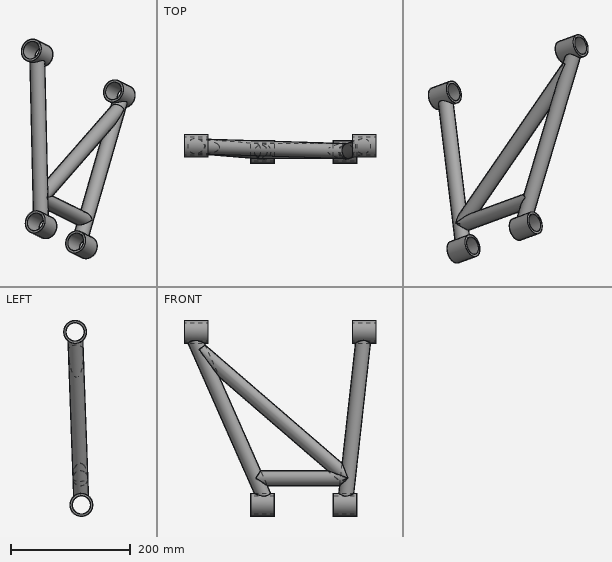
import cadquery as cq

frame_width = 320.0
frame_height = 326.8

bush_diameter = 38.2
bush_bore = 30.0
bush_length = 40.0

tube_diameter = 25.0

upper_z = frame_height - bush_diameter
upper_y = 10.5
upper_left_x = bush_length / 2
upper_right_x = frame_width - bush_length / 2
lower_left_x = 130.5
lower_right_x = 268.0

upper_left = cq.Vector(upper_left_x, upper_y, upper_z)
upper_right = cq.Vector(upper_right_x, upper_y, upper_z)
lower_left = cq.Vector(lower_left_x, 0, 0)
lower_right = cq.Vector(lower_right_x, 0, 0)

left_leg_offset = 8.5
left_leg_top = upper_left - cq.Vector(left_leg_offset, 0, 0)
left_leg_bottom = lower_left + cq.Vector(left_leg_offset, 0, 0)

cope_length = 2 * bush_length

cross_joint_z = 44.5
diagonal_joint_z = 258.8


def point_at_height(bottom, top, z):
    """Point on the line from bottom to top at height z."""
    return bottom + (top - bottom) * ((z - bottom.z) / (top.z - bottom.z))


def rod(start, end):
    """Solid round member between two axis points."""
    axis = end - start
    return cq.Workplane(cq.Solid.makeCylinder(tube_diameter / 2, axis.Length, start, axis))


def cylinder_along_x(center, diameter, length):
    """Solid cylinder with its axis along X and its middle at center."""
    start = center - cq.Vector(length / 2, 0, 0)
    return cq.Workplane(cq.Solid.makeCylinder(diameter / 2, length, start, cq.Vector(1, 0, 0)))


def bush(center):
    """Sleeve with a through bore along X."""
    bore = cylinder_along_x(center, bush_bore, bush_length)
    return cylinder_along_x(center, bush_diameter, bush_length).cut(bore)


def leg(bottom, top):
    """Leg whose ends are coped to the outside of the bushes at those heights."""
    body = rod(bottom, top)
    for end in (bottom, top):
        body = body.cut(cylinder_along_x(end, bush_diameter, cope_length))
    return body


bushes = [bush(center) for center in (upper_left, upper_right, lower_left, lower_right)]

left_leg = leg(left_leg_bottom, left_leg_top)
right_leg = leg(lower_right, upper_right)

left_cross_joint = point_at_height(left_leg_bottom, left_leg_top, cross_joint_z)
right_joint = point_at_height(lower_right, upper_right, cross_joint_z)
diagonal_joint = point_at_height(left_leg_bottom, left_leg_top, diagonal_joint_z)

diagonal_brace = rod(diagonal_joint, right_joint).cut(left_leg).cut(right_leg)
cross_brace = rod(left_cross_joint, right_joint).cut(left_leg).cut(right_leg).cut(diagonal_brace)

result = cq.Compound.makeCompound(
    [body.solids().val() for body in bushes]
    + [body.solids().val() for body in (left_leg, right_leg, diagonal_brace, cross_brace)]
)